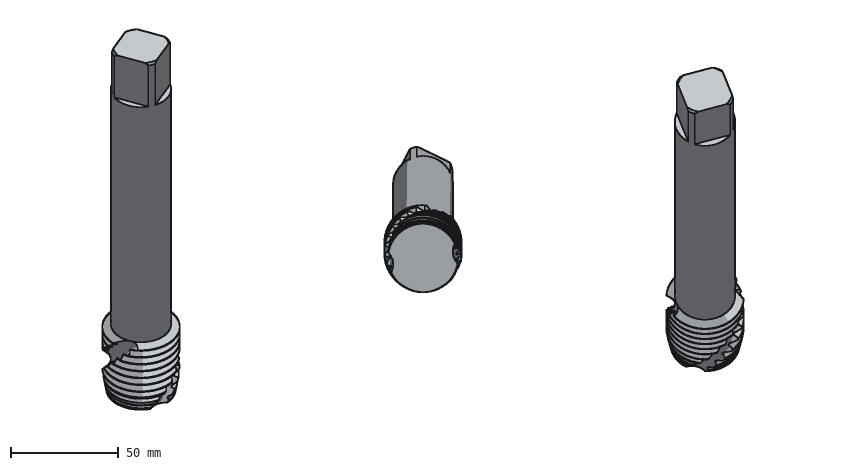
import cadquery as cq
import math

total_length = 200.0

shank_radius = 14.0
drive_length = 25.0
drive_across_flats = 22.0
drive_chamfer = 1.0

head_length = 37.8
crest_radius = 18.0
root_radius = 15.5
pitch = 4.0
crest_flat = 0.5
crest_count = 9
flank_angle = 30.0

tip_radius = 16.2
taper_length = 11.0

flute_count = 2
flute_radius = 8.0
flute_floor_radius = 14.0
flute_lead = 106.0
flute_top_angle = 94.0


def make_shank():
    """Round shank standing on the head, with four flats at its upper end."""
    shank_length = total_length - head_length
    body = (
        cq.Workplane("XY", origin=(0, 0, head_length))
        .circle(shank_radius)
        .extrude(shank_length)
        .faces(">Z")
        .chamfer(drive_chamfer)
    )
    drive_base = total_length - drive_length
    waste = (
        cq.Workplane("XY", origin=(0, 0, drive_base))
        .circle(2 * shank_radius)
        .rect(drive_across_flats, drive_across_flats)
        .extrude(drive_length)
    )
    return body.cut(waste)


def make_thread_blank():
    """Ring-shaped thread: grooves a pitch apart, revolved about Z.

    Crests stand at whole pitches above the lower end. The top crest slopes away to the shank.
    """
    half_crest = crest_flat / 2
    flank_height = (crest_radius - root_radius) * math.tan(math.radians(flank_angle))
    outline = [(0, 0), (crest_radius, 0), (crest_radius, half_crest)]
    for crest in range(1, crest_count + 1):
        lower_edge = crest * pitch - half_crest
        upper_edge_below = (crest - 1) * pitch + half_crest
        outline.append((root_radius, upper_edge_below + flank_height))
        outline.append((root_radius, lower_edge - flank_height))
        outline.append((crest_radius, lower_edge))
        outline.append((crest_radius, lower_edge + crest_flat))
    outline.append((shank_radius, head_length))
    outline.append((0, head_length))
    return cq.Workplane("XZ").polyline(outline).close().revolve(360, (0, 0), (0, 1))


def make_taper_envelope():
    """Turned envelope that trims the lowest crests to the lead-in taper."""
    outline = [
        (0, 0),
        (tip_radius, 0),
        (crest_radius, taper_length),
        (crest_radius, head_length),
        (0, head_length),
    ]
    return cq.Workplane("XZ").polyline(outline).close().revolve(360, (0, 0), (0, 1))


def make_flute(top_angle):
    """Round-bottomed cutter twisted up the head, reaching top_angle at its upper end."""
    twist = 360 * head_length / flute_lead
    return (
        cq.Workplane("XY")
        .pushPoints([(flute_floor_radius + flute_radius, 0)])
        .circle(flute_radius)
        .twistExtrude(head_length, twist)
        .rotate((0, 0, 0), (0, 0, 1), top_angle - twist)
    )


def make_head():
    """Tapered ring thread with helical flutes evenly spaced around it."""
    head = make_thread_blank().intersect(make_taper_envelope())
    for index in range(flute_count):
        head = head.cut(make_flute(flute_top_angle + index * 360 / flute_count))
    return head


shank = make_shank()
head = make_head()

result = cq.Compound.makeCompound([shank.val(), head.val()])